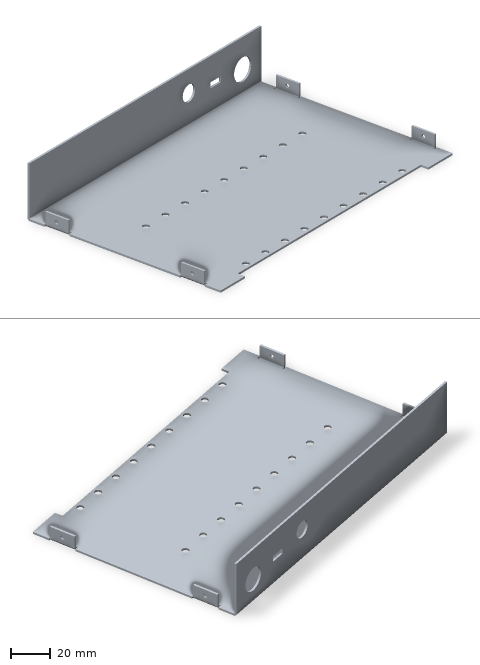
import cadquery as cq

LENGTH_X = 125.8
WIDTH_Y = 190.0
WALL_HEIGHT = 33.2
SHEET = 1.24
BEND_INNER = 0.4
BEND_OUTER = BEND_INNER + SHEET

RECESS_DEPTH = 4.8
RECESS_WIDTH = 150.1

TAB_CENTERS_X = (19.2, 107.5)
TAB_WIDTH = 15.0
TAB_HEIGHT = 9.0
TAB_HOLE_DIAMETER = 2.3
TAB_HOLE_Z = 5.1
RELIEF_WIDTH = 0.5
RELIEF_DEPTH = 2.3

ROW_X = (52.6, 117.6)
ROW_COUNT = 9
ROW_LENGTH = 128.0
ROW_PITCH = ROW_LENGTH / (ROW_COUNT - 1)
ROW_HOLE_DIAMETER = 4.0

LARGE_HOLE_Y = 79.8
LARGE_HOLE_Z = 14.5
LARGE_HOLE_DIAMETER = 14.0
SLOT_Y = 57.8
SLOT_Z = 16.3
SLOT_LENGTH = 8.4
SLOT_HEIGHT = 3.5
SMALL_HOLE_Y = 35.7
SMALL_HOLE_Z = 19.2
SMALL_HOLE_DIAMETER = 10.0


def angle_profile(plane, leg, height):
    """L-shaped sheet section with a rounded bend at the origin corner."""
    return (
        cq.Workplane(plane)
        .moveTo(BEND_OUTER, 0)
        .lineTo(leg, 0)
        .lineTo(leg, SHEET)
        .lineTo(BEND_OUTER, SHEET)
        .radiusArc((SHEET, BEND_OUTER), BEND_INNER)
        .lineTo(SHEET, height)
        .lineTo(0, height)
        .lineTo(0, BEND_OUTER)
        .radiusArc((BEND_OUTER, 0), -BEND_OUTER)
        .close()
    )


def tray_body():
    """Floor and wall as one bent sheet, with the recess cut in the free edge."""
    body = angle_profile("XZ", LENGTH_X, WALL_HEIGHT).extrude(WIDTH_Y / 2, both=True)
    recess = cq.Workplane("XY").box(2 * RECESS_DEPTH, RECESS_WIDTH, 2 * BEND_OUTER)
    return body.cut(recess.translate((LENGTH_X, 0, 0)))


def side_notch(center_x):
    """Material removed from the floor at the -Y edge for one tab and its bend reliefs."""
    return cq.Workplane("XY").box(
        TAB_WIDTH + 2 * RELIEF_WIDTH, 2 * RELIEF_DEPTH, 2 * BEND_OUTER
    ).translate((center_x, -WIDTH_Y / 2, 0))


def side_tab(center_x):
    """Bent tab with its screw hole, at the -Y edge."""
    tab = (
        angle_profile("YZ", RELIEF_DEPTH, TAB_HEIGHT)
        .extrude(TAB_WIDTH / 2, both=True)
        .translate((center_x, -WIDTH_Y / 2, 0))
    )
    hole = (
        cq.Workplane("XZ", origin=(center_x, -WIDTH_Y / 2, TAB_HOLE_Z))
        .circle(TAB_HOLE_DIAMETER / 2)
        .extrude(SHEET, both=True)
    )
    return tab.cut(hole)


def floor_holes():
    """Cutters for both rows of floor holes, centred across the width."""
    first_y = -ROW_LENGTH / 2
    points = [(x, first_y + i * ROW_PITCH) for x in ROW_X for i in range(ROW_COUNT)]
    return cq.Workplane("XY").pushPoints(points).circle(ROW_HOLE_DIAMETER / 2).extrude(SHEET)


def wall_openings():
    """Cutters for the two round holes and the rectangular slot in the wall."""
    wall = cq.Workplane("YZ")
    large = wall.center(LARGE_HOLE_Y, LARGE_HOLE_Z).circle(LARGE_HOLE_DIAMETER / 2).extrude(SHEET)
    small = wall.center(SMALL_HOLE_Y, SMALL_HOLE_Z).circle(SMALL_HOLE_DIAMETER / 2).extrude(SHEET)
    slot = wall.center(SLOT_Y, SLOT_Z).rect(SLOT_LENGTH, SLOT_HEIGHT).extrude(SHEET)
    return large.union(small).union(slot)


result = tray_body().cut(floor_holes()).cut(wall_openings())
for tab_x in TAB_CENTERS_X:
    notch = side_notch(tab_x)
    tab = side_tab(tab_x)
    result = result.cut(notch).cut(notch.mirror("XZ"))
    result = result.union(tab).union(tab.mirror("XZ"))